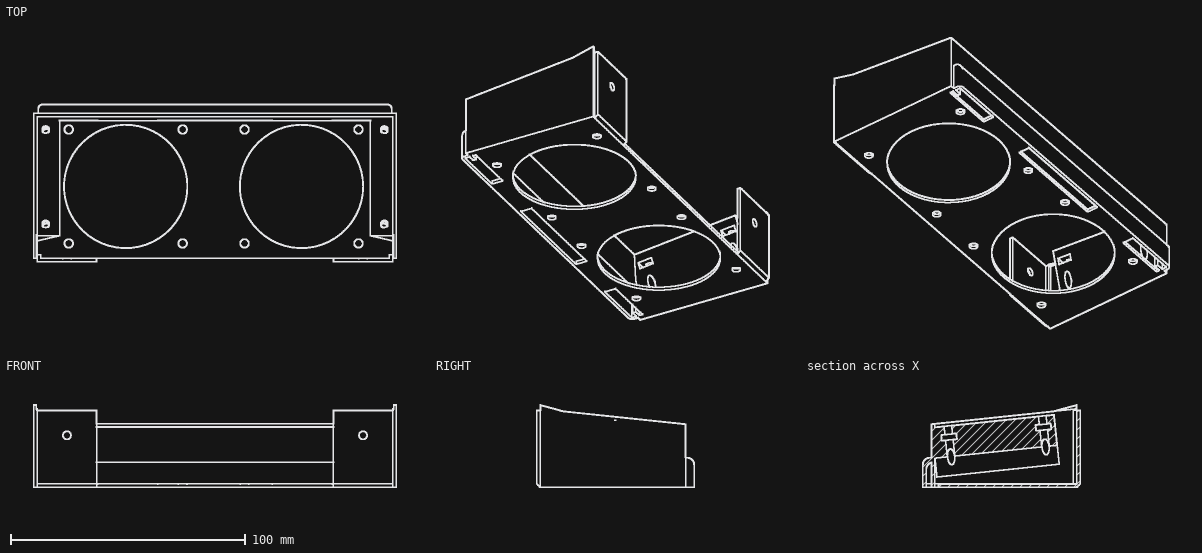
import cadquery as cq
import math

width = 154.7
depth = 62.0
overall_depth = 67.2
sheet = 1.5
half_width = width / 2
inner_half_width = half_width - sheet
back_inner_y = depth - sheet

back_height = 27.0
front_height = 35.17
cover_slope = 6.0
knee_y = 10.0
cover_rise = math.tan(math.radians(cover_slope))
cover_cosine = math.cos(math.radians(cover_slope))
knee_z = back_height + (depth - knee_y) * cover_rise
cover_front_z = back_height + depth * cover_rise
rim_thickness = 1.1

seat_depth = 1.5
rail_width = 9.6
rail_height = 21.2
rail_length = (depth - knee_y) / cover_cosine + seat_depth * cover_rise
ledge_width = 1.75
ledge_bottom_z = 15.9

screw_diameter = 3.05
screw_from_wall = 3.6
screw_from_back = (6.9, 47.4)
nut_slot_length = 6.4
nut_slot_height = 2.4
nut_slot_depth = 3.6
nut_slot_from_wall = 0.3

fan_diameter = 52.52
fan_pitch = 75.0
fan_centre_x = -0.6
fan_centre_y = 30.7
fan_screw_pitch = 48.6
fan_screw_diameter = 3.56

tab_width = 25.4
tab_height = 32.9
tab_hole_diameter = 3.45
tab_hole_z = 22.2
tab_hole_x = inner_half_width - tab_width / 2

lip_depth = overall_depth - depth - sheet
lip_height = 12.7
lip_top_radius = 3.0
lip_corner_radius = 2.0
lip_end_inset = 1.9
lip_half_width = half_width - lip_end_inset
cavity_half_width = lip_half_width - sheet
jamb_width = 3.3
opening_half_width = cavity_half_width - jamb_width
cavity_top_z = 10.8
cavity_back_y = depth + lip_depth - sheet
cavity_radius = 3.3

floor_slot_front_y = 59.0
floor_slot_centre_length = 49.0
floor_slot_inner_x = 50.0

SIDES = (-1, 1)


def box(x0, x1, y0, y1, z0, z1):
    """Axis-aligned box between two opposite corners."""
    size = (abs(x1 - x0), y1 - y0, z1 - z0)
    return cq.Workplane("XY").box(*size, centered=False).translate((min(x0, x1), y0, z0))


def along_cover(shape):
    """Move a shape from the cover frame (origin on the back top edge) onto the cover slope."""
    return shape.rotate((0, 0, 0), (1, 0, 0), -cover_slope).translate((0, depth, back_height))


def make_base():
    return box(-half_width, half_width, 0, depth, 0, sheet)


def make_side_wall(side):
    """Side wall: full thickness up to the cover slope, thinner where it rises above it."""
    outer_profile = [(0, 0), (depth, 0), (depth, back_height), (knee_y, knee_z), (0, front_height)]
    inner_profile = [(0, 0), (depth, 0), (depth, back_height), (0, cover_front_z)]
    rim = cq.Workplane("YZ").polyline(outer_profile).close().extrude(-side * rim_thickness)
    wall = cq.Workplane("YZ").polyline(inner_profile).close().extrude(-side * sheet)
    return rim.union(wall).translate((side * half_width, 0, 0))


def make_back_wall():
    """Back wall with its top cut to the cover slope and a wedge-shaped ledge below the seat."""
    wall_front_z = back_height + sheet * cover_rise
    seat_back_z = wall_front_z - seat_depth / cover_cosine
    ledge_front_y = back_inner_y - ledge_width
    profile = [
        (depth, 0),
        (depth, back_height),
        (back_inner_y, wall_front_z),
        (back_inner_y, seat_back_z),
        (ledge_front_y, seat_back_z + ledge_width * cover_rise),
        (back_inner_y, ledge_bottom_z),
        (back_inner_y, 0),
    ]
    return cq.Workplane("YZ").polyline(profile).close().extrude(half_width, both=True)


def make_rail(side):
    """Triangular gusset carrying the cover along one side wall, with screw holes and nut slots."""
    wall_x = side * inner_half_width
    section = [
        (wall_x, -seat_depth),
        (wall_x - side * rail_width, -seat_depth),
        (wall_x, -seat_depth - rail_height),
    ]
    rail = cq.Workplane("XZ").polyline(section).close().extrude(rail_length)
    slot_top = -seat_depth - nut_slot_depth
    for distance in screw_from_back:
        screw_x = wall_x - side * screw_from_wall
        screw = cq.Workplane("XY").center(screw_x, -distance).circle(screw_diameter / 2)
        rail = rail.cut(screw.extrude(-seat_depth - rail_height))
        half_slot = nut_slot_length / 2
        rail = rail.cut(box(
            wall_x - side * nut_slot_from_wall, wall_x - side * rail_width,
            -distance - half_slot, -distance + half_slot,
            slot_top - nut_slot_height, slot_top,
        ))
    inside = box(-half_width, half_width, 0, back_inner_y, 0, front_height)
    return along_cover(rail).intersect(inside)


def make_front_tab(side):
    """Mounting tab in front of the base, tied to the side wall by a small corner post."""
    outer_x = side * inner_half_width
    profile = [(0, 0), (-sheet, sheet), (-sheet, tab_height), (0, tab_height)]
    tab = cq.Workplane("YZ").polyline(profile).close().extrude(-side * tab_width)
    tab = tab.translate((outer_x, 0, 0))
    post = box(outer_x, outer_x - side * sheet, 0, sheet, 0, tab_height)
    hole = cq.Workplane("XZ").center(side * tab_hole_x, tab_hole_z).circle(tab_hole_diameter / 2)
    return tab.union(post).cut(hole.extrude(sheet))


def make_lip():
    """Solid lip: rounded top edge, with its plan corners rounded the same way at both ends."""
    back_y = depth + lip_depth
    lip = box(-lip_half_width, lip_half_width, back_inner_y, back_y, 0, lip_height)
    lip = lip.edges(">Y and >Z").fillet(lip_top_radius)
    plan = box(-lip_half_width, lip_half_width, back_inner_y, back_y, 0, lip_height)
    return lip.intersect(plan.edges("|Z and >Y").fillet(lip_corner_radius))


def make_lip_cavity():
    """Inside of the lip, open to the tray, with a rounded upper back edge."""
    return box(
        -cavity_half_width, cavity_half_width, back_inner_y, cavity_back_y, sheet, cavity_top_z
    ).edges(">Y and >Z").fillet(cavity_radius)


def make_floor_slots():
    """Three openings in the floor of the lip: two at the ends and a longer one in the middle."""
    half_centre = floor_slot_centre_length / 2
    spans = [
        (-cavity_half_width, -floor_slot_inner_x),
        (-half_centre, half_centre),
        (floor_slot_inner_x, cavity_half_width),
    ]
    slots = cq.Workplane("XY")
    for start, end in spans:
        slots = slots.union(box(start, end, floor_slot_front_y, cavity_back_y, 0, sheet))
    return slots


def hollow_lip(body):
    """Cut the cavity and floor slots, leaving a full-height wall jamb at both ends of the opening."""
    hollow = make_lip_cavity().union(make_floor_slots())
    for side in SIDES:
        jamb = box(
            side * opening_half_width, side * cavity_half_width, back_inner_y, depth, 0, lip_height
        )
        hollow = hollow.cut(jamb)
    return body.cut(hollow)


def cut_fan_openings(body):
    """Two fan openings through the base, each with four screw holes on a square."""
    for side in SIDES:
        fan = cq.Workplane("XY").center(fan_centre_x + side * fan_pitch / 2, fan_centre_y)
        body = body.cut(fan.circle(fan_diameter / 2).extrude(sheet))
        screws = fan.rect(fan_screw_pitch, fan_screw_pitch, forConstruction=True).vertices()
        body = body.cut(screws.circle(fan_screw_diameter / 2).extrude(sheet))
    return body


body = make_base().union(make_back_wall())
for side in SIDES:
    body = body.union(make_side_wall(side))
    body = body.union(make_rail(side))
    body = body.union(make_front_tab(side))
body = body.union(make_lip())
body = hollow_lip(body)
result = cut_fan_openings(body)